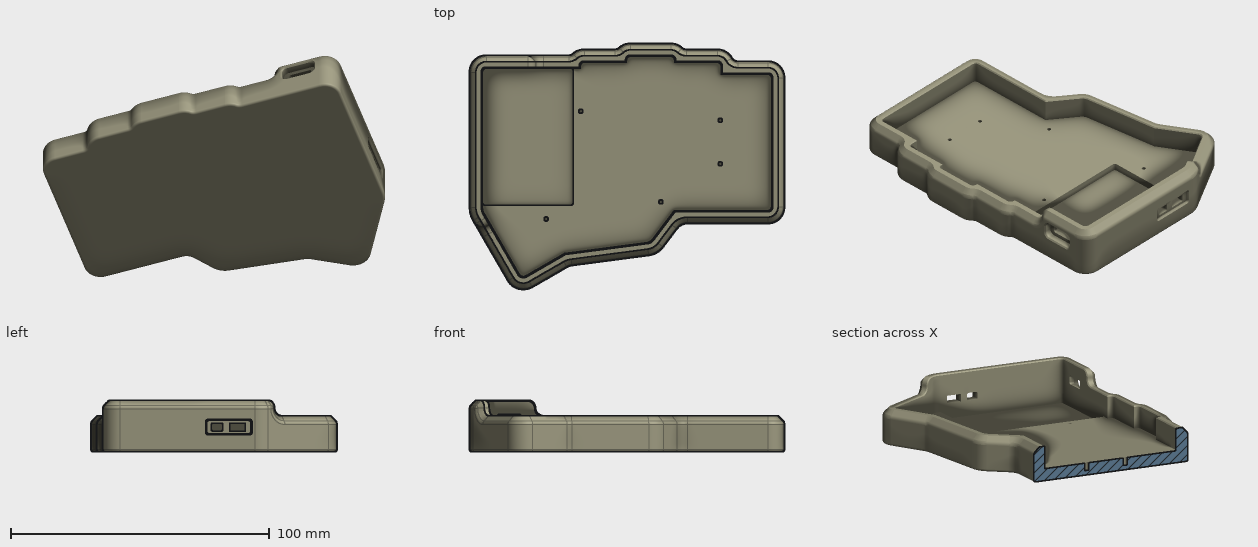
import cadquery as cq
import math

low_height = 14.0
full_height = 20.0
floor_z = 5.0
pocket_floor_z = 2.0

wall = 5.0
length = 121.8
left_x = wall
right_x = length - wall
rear_y = -wall
front_y = -60.1
column_x = (42.8, 60.7, 79.3, 97.3)
stagger = 2.29

thumb_angle = 30.0
palm_angle = 7.5
side_angle = 53.0
thumb_center = (20.85, -83.59)
palm_start_x = 36.9
palm_end_x = 79.2

corner_radius = 1.5
thumb_corner_radius = 2.0
slant_corner_radius = 5.0
palm_corner_radius = 3.5
rear_blend = 2.5
front_blend = 5.0

rim_chamfer = 2.5
rim_round = 2.0
base_round = 1.0
lip_chamfer = 0.4
recess_chamfer = 0.5

step_radius = (full_height - low_height) / 2
rear_step_x = 22.58
slant_step = 2.85

pocket_right_x = 40.1
pocket_front_y = -58.0
pocket_corner = 1.0

screw_diameter = 1.6
screw_depth = 3.0
screw_points = [(43.06, -21.65), (96.95, -25.15), (96.95, -42.0), (74.0, -56.7), (29.65, -63.3)]

port_center = (15.4, 12.75)
port_size = (9.0, 3.5)
port_corner = 0.8
plug_size = (13.0, 6.6)
plug_corner = 2.0
plug_depth = 3.0

panel_center = (-48.75, 9.58)
panel_size = (17.0, 5.1)
panel_corner = 0.7
panel_depth = 1.0
opening_height = 3.1
button_y = -44.2
button_width = 4.5
button_corner = 0.7
slider_y = -52.15
slider_width = 6.0

margin = 1.0
far = 300.0


def shift(point, angle, distance):
    """Plan point moved a distance along a direction in degrees."""
    turn = math.radians(angle)
    return (point[0] + distance * math.cos(turn), point[1] + distance * math.sin(turn))


def on_line_at_x(point, angle, x):
    """Plan point at a given X on the line through a point with a direction in degrees."""
    return (x, point[1] + (x - point[0]) * math.tan(math.radians(angle)))


def meet(point_a, angle_a, point_b, angle_b):
    """Crossing of two plan lines, each given by a point and a direction in degrees."""
    slope_a = math.tan(math.radians(angle_a))
    slope_b = math.tan(math.radians(angle_b))
    x = (point_b[1] - point_a[1] + slope_a * point_a[0] - slope_b * point_b[0]) / (slope_a - slope_b)
    return on_line_at_x(point_a, angle_a, x)


slant_angle = thumb_angle - 90.0
on_slant = shift(thumb_center, thumb_angle + 180.0, thumb_corner_radius)
on_thumb = shift(thumb_center, thumb_angle - 90.0, thumb_corner_radius)
slant_top = on_line_at_x(on_slant, slant_angle, left_x)
thumb_tip = meet(on_slant, slant_angle, on_thumb, thumb_angle)
palm_start = on_line_at_x(on_thumb, thumb_angle, palm_start_x)
palm_end = (palm_end_x, front_y)
palm_corner = meet(palm_start, palm_angle, palm_end, side_angle)

x1, x2, x3, x4 = column_x
CORNERS = [
    ((left_x, rear_y), corner_radius, 0),
    ((x1, rear_y), 0, rear_blend),
    ((x1, rear_y + stagger), corner_radius, 0),
    ((x2, rear_y + stagger), 0, rear_blend),
    ((x2, rear_y + 2 * stagger), corner_radius, 0),
    ((x3, rear_y + 2 * stagger), corner_radius, 0),
    ((x3, rear_y + stagger), 0, rear_blend),
    ((x4, rear_y + stagger), corner_radius, 0),
    ((x4, rear_y - stagger), 0, rear_blend),
    ((right_x, rear_y - stagger), corner_radius, 0),
    ((right_x, front_y), corner_radius, 0),
    (palm_end, 0, front_blend),
    (palm_corner, palm_corner_radius, 0),
    (palm_start, 0, front_blend),
    (thumb_tip, thumb_corner_radius, 0),
    (slant_top, slant_corner_radius, 0),
]


def round_upright_edge(body, point, radius):
    """Fillet the vertical edge nearest to a plan point."""
    nearest = cq.selectors.NearestToPointSelector((point[0], point[1], full_height / 2))
    return body.edges("|Z").edges(nearest).fillet(radius)


def make_cavity():
    body = cq.Workplane("XY").polyline([point for point, _, _ in CORNERS]).close().extrude(full_height)
    for point, radius, _ in CORNERS:
        if radius > 0:
            body = round_upright_edge(body, point, radius)
    return body


def make_outer(cavity):
    """Prism one wall thickness outside the cavity, with its inward corners blended."""
    base = cq.Workplane("XY").add(cavity.faces("<Z").wires().vals()).toPending()
    body = base.offset2D(wall, "arc").extrude(full_height)
    for point, _, blend in CORNERS:
        if blend > 0:
            body = round_upright_edge(body, point, blend)
    return body


def step_envelope(plane, start):
    """Space below an S-shaped step that falls along the plane's X direction."""
    middle = (start + step_radius, full_height - step_radius)
    end = (start + 2 * step_radius, low_height)
    profile = (
        cq.Workplane(plane)
        .moveTo(-far, -margin)
        .lineTo(-far, full_height)
        .lineTo(start, full_height)
        .radiusArc(middle, step_radius)
        .radiusArc(end, -step_radius)
        .lineTo(far, low_height)
        .lineTo(far, -margin)
        .close()
    )
    return profile.extrude(far, both=True)


def lower_rim(body):
    """Keep only the rear-left corner at full height."""
    rear_plane = cq.Plane((0, 0, 0), (1, 0, 0), (0, -1, 0))
    along = shift((0, 0), slant_angle, 1.0)
    across = shift((0, 0), thumb_angle + 180.0, 1.0)
    slant_plane = cq.Plane((*slant_top, 0), (*along, 0), (*across, 0))
    body = body.intersect(step_envelope(rear_plane, rear_step_x))
    return body.intersect(step_envelope(slant_plane, slant_step))


def rim_edges(body, prism, lowest):
    """Non-vertical edges above a height that lie on the side faces of a prism."""
    sides = prism.faces("not |Z").vals()
    samples = (0.2, 0.5, 0.8)
    tolerance = 1e-3

    def lies_on_sides(edge):
        points = [cq.Vertex.makeVertex(*edge.positionAt(t).toTuple()) for t in samples]
        return all(min(p.distance(side) for side in sides) < tolerance for p in points)

    upright = body.edges("|Z").vals()
    high = [e for e in body.edges().vals() if e.Center().z > lowest and e not in upright]
    return body.newObject([e for e in high if lies_on_sides(e)])


def finish_edges(body, outer, cavity):
    body = body.faces("<Z").edges().fillet(base_round)
    body = rim_edges(body, outer, low_height - margin).chamfer(rim_chamfer)
    body = rim_edges(body, outer, low_height - rim_chamfer - margin).fillet(rim_round)
    return rim_edges(body, cavity, low_height - margin).chamfer(lip_chamfer)


def make_pocket():
    width = pocket_right_x - left_x
    depth = rear_y - pocket_front_y
    return (
        cq.Workplane("XY", origin=(left_x, pocket_front_y, pocket_floor_z))
        .rect(width, depth, centered=False)
        .extrude(floor_z - pocket_floor_z + margin)
        .edges("|Z")
        .fillet(pocket_corner)
    )


def make_screw_holes():
    top = cq.Workplane("XY", origin=(0, 0, floor_z))
    return top.pushPoints(screw_points).circle(screw_diameter / 2).extrude(-screw_depth)


def rounded_block(face, size, corner, depth, taper=0):
    """Rounded rectangle extruded along the normal of a face plane."""
    return face.sketch().rect(*size).vertices().fillet(corner).finalize().extrude(depth, taper=taper)


def make_recess(face, size, corner, depth):
    """Rounded recess with a chamfered mouth, sunk along the normal of a face plane."""
    mouth = [side + 2 * recess_chamfer for side in size]
    bevel = rounded_block(face, mouth, corner + recess_chamfer, recess_chamfer, taper=45)
    return rounded_block(face, size, corner, depth).union(bevel)


def make_port():
    x, z = port_center
    face = cq.Workplane("XZ", origin=(x, 0, z))
    opening = rounded_block(face, port_size, port_corner, wall + margin)
    return opening.union(make_recess(face, plug_size, plug_corner, plug_depth))


def make_panel():
    y, z = panel_center
    recess = make_recess(cq.Workplane("YZ", origin=(0, y, z)), panel_size, panel_corner, panel_depth)
    button_face = cq.Workplane("YZ", origin=(0, button_y, z))
    button = rounded_block(button_face, (button_width, opening_height), button_corner, wall + margin)
    slider = cq.Workplane("YZ", origin=(0, slider_y, z)).rect(slider_width, opening_height)
    return recess.union(button).union(slider.extrude(wall + margin))


cavity = make_cavity()
outer = make_outer(cavity)
body = lower_rim(outer).cut(cavity.translate((0, 0, floor_z)))
body = finish_edges(body, outer, cavity)
for cutter in (make_pocket(), make_screw_holes(), make_port(), make_panel()):
    body = body.cut(cutter)

result = body